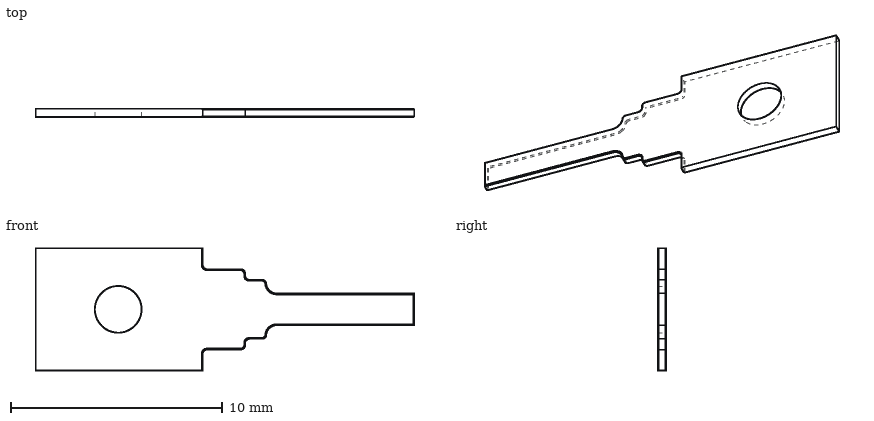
import cadquery as cq
import math

total_length = 17.9
thickness = 0.4

head_length = 7.9
head_width = 5.8
hole_diameter = 2.2
hole_from_end = 3.9

first_shoulder_end = 9.9
first_shoulder_width = 3.8
second_shoulder_end = 10.9
second_shoulder_width = 2.8
blade_width = 1.5

corner_radius = 0.2
blade_root_radius = 0.5
edge_chamfer = 0.05

back_face_y = thickness / 2


def point_on_arc(center, radius, angle):
    """Point at the given angle (radians, from +X towards +Z) on a circle."""
    center_x, center_z = center
    return (center_x + radius * math.cos(angle), center_z + radius * math.sin(angle))


def outer_corner(profile, x, z):
    """Round a convex corner at (x, z), arriving along +X and leaving along -Z."""
    center = (x - corner_radius, z - corner_radius)
    profile = profile.lineTo(center[0], z)
    return profile.threePointArc(point_on_arc(center, corner_radius, math.pi / 4), (x, center[1]))


def inner_corner(profile, x, z):
    """Round a concave corner at (x, z), arriving along -Z and leaving along +X."""
    center = (x + corner_radius, z + corner_radius)
    profile = profile.lineTo(x, center[1])
    return profile.threePointArc(point_on_arc(center, corner_radius, 5 * math.pi / 4), (center[0], z))


def blade_root(profile, shoulder_z, blade_z):
    """Roll over the second shoulder and sweep into the blade with two tangent arcs.

    The step is too low for a straight stretch, so the corner arc touches the root arc directly.
    """
    center_distance = corner_radius + blade_root_radius
    root_center = (second_shoulder_end + blade_root_radius, blade_z + blade_root_radius)
    corner_z = shoulder_z - corner_radius
    lean = math.asin((root_center[1] - corner_z) / center_distance)
    corner_center = (root_center[0] - center_distance * math.cos(lean), corner_z)

    half_sweep_angle = (lean + math.pi / 2) / 2
    corner_middle = point_on_arc(corner_center, corner_radius, half_sweep_angle)
    touch_point = point_on_arc(corner_center, corner_radius, lean)
    root_middle = point_on_arc(root_center, blade_root_radius, math.pi + half_sweep_angle)

    profile = profile.lineTo(corner_center[0], shoulder_z)
    profile = profile.threePointArc(corner_middle, touch_point)
    return profile.threePointArc(root_middle, (root_center[0], blade_z))


def upper_half():
    """Half of the plate above its long axis."""
    head_z = head_width / 2
    first_z = first_shoulder_width / 2
    second_z = second_shoulder_width / 2
    blade_z = blade_width / 2

    profile = cq.Workplane("XZ", origin=(0, back_face_y, 0))
    profile = profile.lineTo(0, head_z).lineTo(head_length, head_z)
    profile = inner_corner(profile, head_length, first_z)
    profile = outer_corner(profile, first_shoulder_end, first_z)
    profile = inner_corner(profile, first_shoulder_end, second_z)
    profile = blade_root(profile, second_z, blade_z)
    profile = profile.lineTo(total_length, blade_z).lineTo(total_length, 0).close()
    return profile.extrude(thickness)


def stepped_plate():
    """Mirror the upper half to get the whole symmetric plate."""
    half = upper_half()
    return half.union(half.mirror("XY")).clean()


def chamfer_neck(plate):
    """Bevel the front and back edges from the end of the head all round to the blade tip."""
    neck_edges = cq.selectors.BoxSelector(
        (head_length - edge_chamfer, -thickness, -head_width),
        (total_length + edge_chamfer, thickness, head_width),
    )
    return plate.faces("<Y or >Y").edges(neck_edges).chamfer(edge_chamfer)


def hole_cutter():
    """Cylinder that passes through the head."""
    sketch = cq.Workplane("XZ", origin=(hole_from_end, back_face_y, 0))
    return sketch.circle(hole_diameter / 2).extrude(thickness)


result = chamfer_neck(stepped_plate()).cut(hole_cutter())